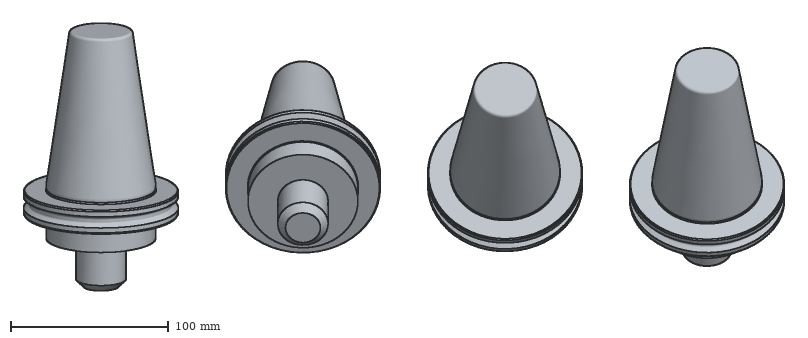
import cadquery as cq
import math

total_height = 168.3
shank_length = 31.8
shank_chamfer = 4.9
flange_bottom = 47.6
flange_thickness = 15.8
gauge_offset = 3.2
flange_top = flange_bottom + flange_thickness
gauge_height = flange_top + gauge_offset

flange_diameter = 98.5
groove_diameter = 91.2
collar_diameter = 69.8
shank_diameter = 32.0

taper_ratio = 7 / 24
nose_fillet = 2.0
flange_chamfer_width = 0.7
flange_chamfer_height = 1.0
relief_top = 2.2
relief_bottom = 1.2
relief_depth = 0.2
upper_flare = 0.2
lower_flare_width = 0.3
lower_flare_height = 0.7
groove_floor_width = 3.2
groove_fillet = 1.0
groove_wall_angle = 30.0


def revolve_outline(outline):
    return cq.Workplane("XZ").polyline(outline).close().revolve(360, (0, 0), (0, 1))


def make_taper():
    large_radius = collar_diameter / 2
    small_radius = large_radius - (total_height - gauge_height) * taper_ratio / 2
    outline = [
        (0, gauge_height),
        (large_radius, gauge_height),
        (small_radius, total_height),
        (0, total_height),
    ]
    taper = revolve_outline(outline)
    return taper.faces(">Z").edges().fillet(nose_fillet)


def make_flange():
    flange_radius = flange_diameter / 2
    floor_radius = groove_diameter / 2
    middle = (flange_bottom + flange_top) / 2
    floor_half = groove_floor_width / 2
    wall_rise = (flange_radius - floor_radius) * math.tan(math.radians(groove_wall_angle))
    mouth_half = floor_half + wall_rise
    outline = [
        (0, flange_bottom),
        (flange_radius - flange_chamfer_width, flange_bottom),
        (flange_radius, flange_bottom + flange_chamfer_height),
        (flange_radius, middle - mouth_half),
        (floor_radius, middle - floor_half),
        (floor_radius, middle + floor_half),
        (flange_radius, middle + mouth_half),
        (flange_radius, flange_top - flange_chamfer_height),
        (flange_radius - flange_chamfer_width, flange_top),
        (0, flange_top),
    ]
    flange = revolve_outline(outline)
    floor_corners = cq.selectors.RadiusNthSelector(0)
    return flange.edges("%CIRCLE").edges(floor_corners).fillet(groove_fillet)


def make_shank():
    shank = cq.Workplane("XY").circle(shank_diameter / 2).extrude(shank_length)
    return shank.faces("<Z").edges().chamfer(shank_chamfer)


def make_upper_collar():
    collar_radius = collar_diameter / 2
    return revolve_outline([
        (0, flange_top),
        (collar_radius + upper_flare, flange_top),
        (collar_radius - relief_depth, flange_top + relief_bottom),
        (collar_radius, flange_top + relief_top),
        (collar_radius, gauge_height),
        (0, gauge_height),
    ])


def make_lower_collar():
    collar_radius = collar_diameter / 2
    return revolve_outline([
        (0, shank_length),
        (collar_radius, shank_length),
        (collar_radius, flange_bottom - lower_flare_height),
        (collar_radius + lower_flare_width, flange_bottom),
        (0, flange_bottom),
    ])


result = (
    make_shank()
    .union(make_lower_collar())
    .union(make_flange())
    .union(make_upper_collar())
    .union(make_taper())
)